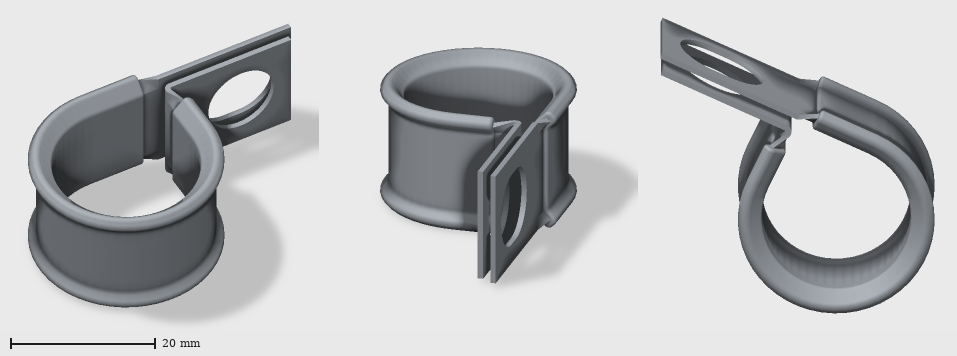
import cadquery as cq
import math

inner_radius = 10.35
band_radius = 12.5
lip_radius = 13.65
cushion_width = 17.25
half_height = cushion_width / 2
lip_thickness = 2.0
section_fillet = 0.8
loop_angle = 270
front_arm_angle = 180

front_arm_length = 8.65
back_arm_length = 5.8
arm_end_fillet = 0.45

strip_thickness = 0.8
strip_half_width = 7.95
strip_embedding = 0.45
strip_radius = (inner_radius + band_radius - strip_thickness) / 2
strip_outer_radius = strip_radius + strip_thickness

front_tab_end = 32.1
back_tab_end = 30.95
back_tab_x = -9.65
bend_radius = 1.05

wing_length = 2.55
wing_height = 1.85
wing_reach = 1.15

hole_y = 23.05
hole_diameter = 10.35
slot_length = 12.75


def cushion_section():
    """Rounded cross-section; the first axis is the radius, the second is Z."""
    corner_overhang = section_fillet * (math.sqrt(2) - 1)
    tip_radius = lip_radius + corner_overhang
    top_z = half_height + corner_overhang
    tip_rise = lip_thickness / math.sqrt(2)
    tip_z = top_z - tip_rise
    top_radius = tip_radius - tip_rise
    upper_half = [
        (band_radius, tip_z - (tip_radius - band_radius)),
        (tip_radius, tip_z),
        (top_radius, top_z),
        (inner_radius, top_z - (top_radius - inner_radius)),
    ]
    lower_half = [(radius, -z) for radius, z in reversed(upper_half)]
    outline = upper_half + lower_half
    return cq.Sketch().polygon(outline + outline[:1]).vertices().fillet(section_fillet)


def cushion_loop():
    """Ring from the front arm round to the back arm."""
    ring = cq.Workplane("XZ").placeSketch(cushion_section()).revolve(loop_angle, (0, 0), (0, 1))
    return ring.rotate((0, 0, 0), (0, 0, 1), front_arm_angle)


def outward_section_plane(origin, outward):
    """Plane whose first axis points out of the loop and whose second is Z."""
    normal = cq.Vector(*outward).cross(cq.Vector(0, 0, 1))
    return cq.Plane(origin, outward, normal.toTuple())


def cushion_arm(outward, direction, length):
    """Straight arm from the loop along the given direction, with a rounded end."""
    end = (direction[0] * length, direction[1] * length, 0)
    plane = outward_section_plane(end, outward)
    signed_length = -length * plane.zDir.dot(cq.Vector(*direction))
    arm = cq.Workplane(plane).placeSketch(cushion_section()).extrude(signed_length)
    end_face = arm.faces(cq.selectors.DirectionMinMaxSelector(cq.Vector(*direction), True))
    return end_face.edges().fillet(arm_end_fillet)


def strip_wings(outward, direction, arm_length):
    """Pair of twisted corners where the strip leaves the cushion."""
    fold_z = strip_half_width - wing_height
    tip_shift = strip_thickness / math.sqrt(2)
    outer_tip = (strip_outer_radius + wing_reach, fold_z + wing_reach)
    flared = [
        (strip_radius, fold_z),
        (strip_outer_radius, fold_z),
        outer_tip,
        (outer_tip[0] - tip_shift, outer_tip[1] + tip_shift),
    ]
    flat = [
        (strip_radius, fold_z),
        (strip_outer_radius, fold_z),
        (strip_outer_radius, strip_half_width),
        (strip_radius, strip_half_width),
    ]

    def section_wire(points, distance):
        origin = (direction[0] * distance, direction[1] * distance, 0)
        plane = outward_section_plane(origin, outward)
        return cq.Wire.makePolygon([plane.toWorldCoords(p) for p in points], close=True)

    wires = [section_wire(flared, arm_length), section_wire(flat, arm_length + wing_length)]
    upper = cq.Workplane(cq.Solid.makeLoft(wires, True))
    return upper.union(upper.mirror("XY"))


def wing_gaps(outward, direction, arm_length):
    """Edge strips of the flat metal, up to its buried end, that the twisted wings replace."""
    gap_length = wing_length + strip_embedding
    distance = arm_length + wing_length - gap_length / 2
    origin = (direction[0] * distance, direction[1] * distance, 0)
    centre_radius = strip_radius + strip_thickness / 2
    centre_z = strip_half_width - wing_height / 2
    return (
        cq.Workplane(outward_section_plane(origin, outward))
        .pushPoints([(centre_radius, centre_z), (centre_radius, -centre_z)])
        .rect(strip_thickness, wing_height)
        .extrude(gap_length / 2, both=True)
    )


def front_tab():
    """Flat tab continuing straight out of the front arm, with a slot."""
    base_y = front_arm_length - strip_embedding
    tab = (
        cq.Workplane("XY", origin=(0, 0, -strip_half_width))
        .moveTo(-strip_outer_radius, base_y)
        .lineTo(-strip_radius, base_y)
        .lineTo(-strip_radius, front_tab_end)
        .lineTo(-strip_outer_radius, front_tab_end)
        .close()
        .extrude(2 * strip_half_width)
    )
    slot = (
        cq.Workplane("YZ", origin=(-strip_outer_radius, 0, 0))
        .center(hole_y, 0)
        .slot2D(slot_length, hole_diameter)
        .extrude(strip_thickness)
    )
    return tab.cut(slot)


def back_tab():
    """Tab bent square out of the back arm, with a round hole."""
    base_x = strip_embedding - back_arm_length
    inner_x = back_tab_x + strip_thickness
    inner_bend = bend_radius - strip_thickness
    bend_x = back_tab_x + bend_radius
    bend_y = strip_radius + bend_radius
    tab = (
        cq.Workplane("XY", origin=(0, 0, -strip_half_width))
        .moveTo(base_x, strip_radius)
        .lineTo(bend_x, strip_radius)
        .radiusArc((back_tab_x, bend_y), bend_radius)
        .lineTo(back_tab_x, back_tab_end)
        .lineTo(inner_x, back_tab_end)
        .lineTo(inner_x, bend_y)
        .radiusArc((bend_x, strip_outer_radius), -inner_bend)
        .lineTo(base_x, strip_outer_radius)
        .close()
        .extrude(2 * strip_half_width)
    )
    hole = (
        cq.Workplane("YZ", origin=(back_tab_x, 0, 0))
        .center(hole_y, 0)
        .circle(hole_diameter / 2)
        .extrude(strip_thickness)
    )
    return tab.cut(hole)


result = cushion_loop()
arms = [
    ((-1, 0, 0), (0, 1, 0), front_arm_length, front_tab()),
    ((0, 1, 0), (-1, 0, 0), back_arm_length, back_tab()),
]
for outward, direction, arm_length, tab in arms:
    tab = tab.cut(wing_gaps(outward, direction, arm_length))
    tab = tab.union(strip_wings(outward, direction, arm_length))
    result = result.union(cushion_arm(outward, direction, arm_length)).union(tab)